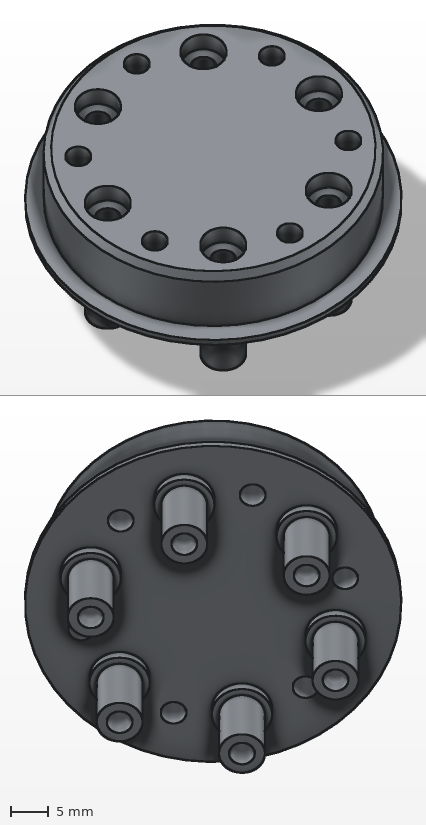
import cadquery as cq

flange_diameter = 50.0
flange_thickness = 1.0
body_diameter = 45.1
body_top = 11.0
rim_chamfer = 1.0

positions_per_ring = 6
pitch_angle = 360.0 / positions_per_ring

post_circle_radius = 17.0
post_diameter = 6.1
post_length = 11.0
collar_diameter = 8.0
collar_height = 1.4

bore_diameter = 3.4
counterbore_diameter = post_diameter
counterbore_depth = 3.0
plain_hole_circle_radius = 18.0
plain_hole_diameter = 3.4

plain_hole_start_angle = pitch_angle / 2


def ring_of_cylinders(circle_radius, start_angle, diameter, bottom, top):
    """Upright cylinders, evenly spaced on a circle, spanning bottom to top."""
    return (
        cq.Workplane("XY", origin=(0, 0, bottom))
        .polarArray(circle_radius, start_angle, 360, positions_per_ring)
        .circle(diameter / 2)
        .extrude(top - bottom)
    )


def make_disc():
    """Chamfered round body standing on a thin, wider flange."""
    flange = cq.Workplane("XY").circle(flange_diameter / 2).extrude(flange_thickness)
    body = cq.Workplane("XY").circle(body_diameter / 2).extrude(body_top)
    return flange.union(body.faces(">Z").chamfer(rim_chamfer))


def make_posts():
    """Posts with their collars against the underside of the flange."""
    posts = ring_of_cylinders(post_circle_radius, 0, post_diameter, -post_length, 0)
    collars = ring_of_cylinders(post_circle_radius, 0, collar_diameter, -collar_height, 0)
    return posts.union(collars)


def make_holes():
    """Counterbored holes down the posts, and plain holes between them."""
    bores = ring_of_cylinders(post_circle_radius, 0, bore_diameter, -post_length, body_top)
    counterbores = ring_of_cylinders(
        post_circle_radius, 0, counterbore_diameter, body_top - counterbore_depth, body_top
    )
    plain_holes = ring_of_cylinders(
        plain_hole_circle_radius, plain_hole_start_angle, plain_hole_diameter, 0, body_top
    )
    return bores.union(counterbores).union(plain_holes)


result = make_disc().union(make_posts()).cut(make_holes())